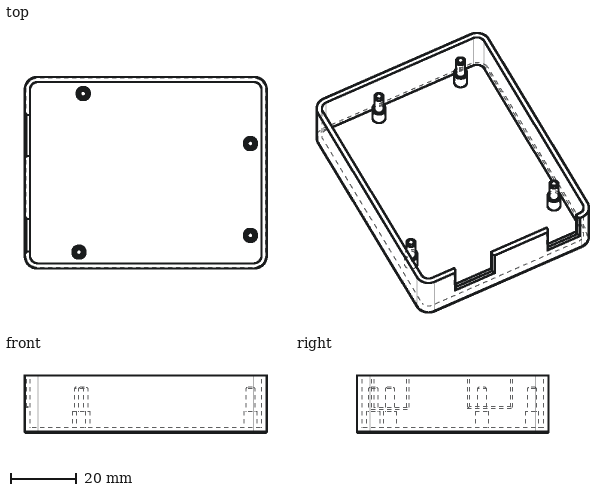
import cadquery as cq

board_length = 68.6
board_width = 53.3
mount_holes = [(14.0, 2.5), (15.3, 50.7), (66.1, 7.6), (66.1, 35.5)]

margin = 2.5
wall = 1.6
floor = 1.6
height = 17.5
corner_radius = 4.0
bottom_chamfer = 0.4

length = board_length + 2 * margin
width = board_width + 2 * margin

standoff_diameter = 4.0
standoff_height = 5.0
pin_diameter = 2.8
pin_length = 7.4
pin_chamfer = 0.5

opening_chamfer = 0.63
usb_center = 38.0
usb_width = 12.5
usb_sill = 8.0
jack_center = 7.65
jack_width = 10.0
jack_sill = 7.8


def make_tray():
    """Rounded open box with a chamfered bottom edge."""
    outer = (
        cq.Workplane("XY")
        .box(length, width, height, centered=(True, True, False))
        .edges("|Z")
        .fillet(corner_radius)
        .faces("<Z")
        .chamfer(bottom_chamfer)
    )
    cavity = (
        cq.Workplane("XY", origin=(0, 0, floor))
        .box(length - 2 * wall, width - 2 * wall, height, centered=(True, True, False))
        .edges("|Z")
        .fillet(corner_radius - wall)
    )
    return outer.cut(cavity)


def make_post(x, y):
    """Standoff and chamfered pin under the board hole at (x, y)."""
    base = (x - board_length / 2, y - board_width / 2, floor)
    standoff = cq.Workplane("XY", origin=base).circle(standoff_diameter / 2).extrude(standoff_height)
    pin = (
        cq.Workplane("XY", origin=base)
        .circle(pin_diameter / 2)
        .extrude(standoff_height + pin_length)
        .faces(">Z")
        .chamfer(pin_chamfer)
    )
    return standoff.union(pin)


def opening_profile(center, opening_width, sill):
    """Rectangle on the outer left face, from the sill up to the rim."""
    middle = (-length / 2, center - board_width / 2, (sill + height) / 2)
    return cq.Workplane("YZ", origin=middle).rect(opening_width, height - sill)


def make_opening(center, opening_width, sill):
    """Cutter for a wall opening whose sides and sill are chamfered on the outside."""
    through = opening_profile(center, opening_width, sill).extrude(wall)
    flare = (
        opening_profile(center, opening_width + 2 * opening_chamfer, sill - opening_chamfer)
        .workplane(offset=opening_chamfer)
        .center(0, opening_chamfer / 2)
        .rect(opening_width, height - sill)
        .loft(ruled=True)
    )
    return through.union(flare)


result = make_tray()
for hole_x, hole_y in mount_holes:
    result = result.union(make_post(hole_x, hole_y))
result = result.cut(make_opening(usb_center, usb_width, usb_sill))
result = result.cut(make_opening(jack_center, jack_width, jack_sill))